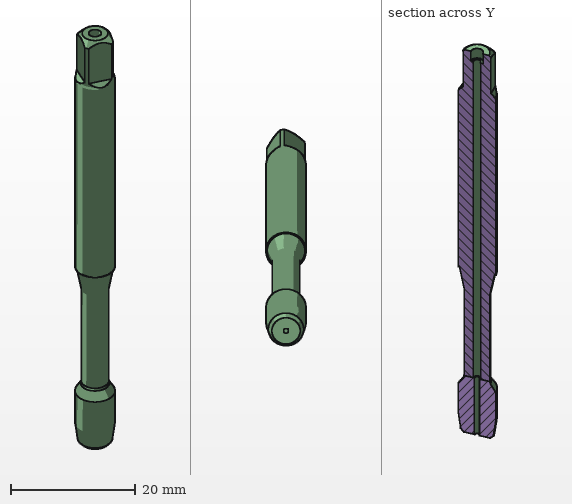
import cadquery as cq

total_length = 80.0
body_diameter = 6.5
neck_diameter = 4.5

head_length = 11.9
collar_base = 11.4
cone_base = 9.9
lead_top = 3.8
tip_chamfer_height = 0.6
lead_end_diameter = 5.7
tip_diameter = 4.6
collar_diameter = 4.6
head_bore_diameter = 0.8

taper_base = 30.0
taper_top = 34.3
cylinder_top = 71.1
square_base = 72.2
ramp_base = 71.3
taper_diameter = 6.1
corner_diameter = 6.2
corner_chamfer_height = 0.4

across_flats = 4.9
end_face_diameter = 4.2
end_chamfer_height = 1.0
shank_bore_diameter = 1.2
center_hole_diameter = 2.0
center_hole_depth = 2.0


def revolve_profile(points):
    """Revolve (radius, height) points about Z, closing the profile on the axis."""
    axis_points = [(0, points[-1][1]), (0, points[0][1])]
    profile = cq.Workplane("XZ").polyline(points + axis_points).close()
    return profile.revolve(360, (0, 0, 0), (0, 1, 0))


def bore(diameter, bottom, top):
    """Make a cylindrical cutter on the Z axis."""
    return cq.Workplane("XY").workplane(offset=bottom).circle(diameter / 2).extrude(top - bottom)


def make_head():
    """Cutting head: chamfered tip, tapered lead, cylinder and cone up to the neck."""
    head = revolve_profile([
        (tip_diameter / 2, 0),
        (lead_end_diameter / 2, tip_chamfer_height),
        (body_diameter / 2, lead_top),
        (body_diameter / 2, cone_base),
        (collar_diameter / 2, collar_base),
        (neck_diameter / 2, head_length),
    ])
    return head.cut(bore(head_bore_diameter, 0, head_length))


def make_flat_cutter():
    """Material beyond the +X flat of the square, with a ramp running out to the shank."""
    flat_offset = across_flats / 2
    outer_offset = body_diameter
    ramp_slope = (square_base - ramp_base) / (body_diameter / 2 - flat_offset)
    outer_height = square_base - ramp_slope * (outer_offset - flat_offset)
    profile = cq.Workplane("XZ").polyline([
        (flat_offset, square_base),
        (flat_offset, total_length),
        (outer_offset, total_length),
        (outer_offset, outer_height),
    ]).close()
    return profile.extrude(body_diameter, both=True)


def make_shank():
    """Shank: neck, taper, cylinder and square drive end with a stepped bore."""
    shank = revolve_profile([
        (neck_diameter / 2, head_length),
        (neck_diameter / 2, taper_base),
        (taper_diameter / 2, taper_top),
        (body_diameter / 2, taper_top),
        (body_diameter / 2, cylinder_top),
        (corner_diameter / 2, cylinder_top + corner_chamfer_height),
        (corner_diameter / 2, total_length - end_chamfer_height),
        (end_face_diameter / 2, total_length),
    ])
    flat_cutter = make_flat_cutter()
    for quarter in range(4):
        shank = shank.cut(flat_cutter.rotate((0, 0, 0), (0, 0, 1), 90 * quarter))
    shank = shank.cut(bore(shank_bore_diameter, head_length, total_length))
    return shank.cut(bore(center_hole_diameter, total_length - center_hole_depth, total_length))


cutting_head = make_head()
shank = make_shank()

result = cq.Compound.makeCompound([cutting_head.val(), shank.val()])